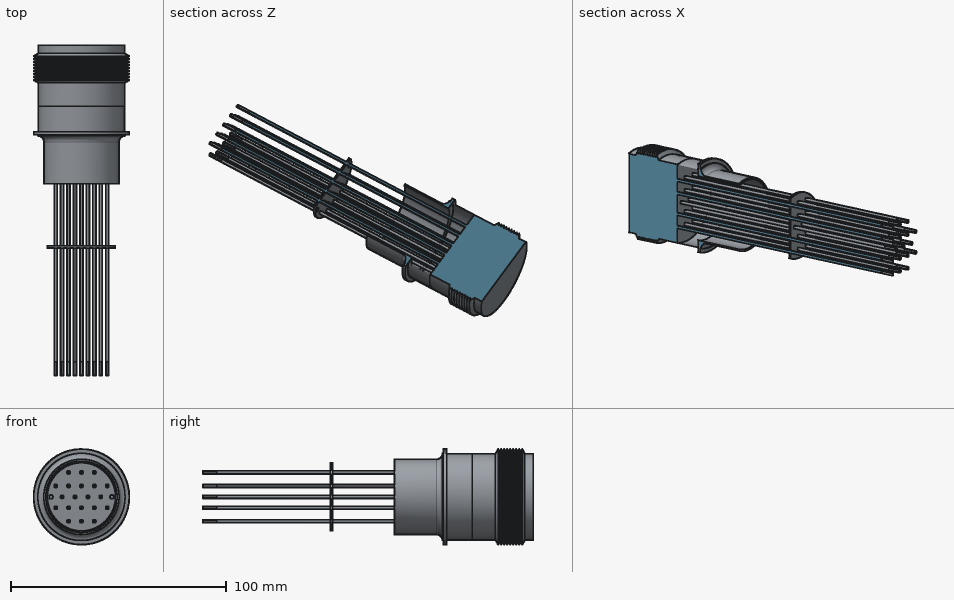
import cadquery as cq
import math

total_length = 153.3

body_radius = 20.1
neck_radius = 17.5
neck_wall = 0.9
body_wall = 0.3
neck_end_y = 88.9
cavity_floor_y = 125.0

flange_radius = 22.2
flange_top_y = 113.1
flange_thickness = 1.5
shoulder_height = 0.5
blend_radius = 2.8

thread_crest_radius = 22.2
thread_center_y = 142.5
thread_pitch = 1.4
thread_ridge_count = 9
thread_flank_angle = 30.0

pin_radius = 0.8
pin_tip_chamfer = 0.23
cup_radius = 0.5
cup_depth = 6.5
pin_embed = 1.5
pin_spacing = 6.0
row_offset_inner = 5.0
row_offset_outer = 11.3

disc_radius = 15.8
disc_thickness = 1.0
disc_y = 59.2
disc_hole_radius = 0.9
disc_hole_offset = 14.1


def cylinder(radius, start_y, length, x=0.0, z=0.0):
    """Cylinder along +Y that starts at start_y."""
    start = cq.Vector(x, start_y, z)
    return cq.Workplane(cq.Solid.makeCylinder(radius, length, start, cq.Vector(0, 1, 0)))


def thread_profile():
    """Zigzag outline from the body, over every ridge, and back to the body."""
    flank_run = math.tan(math.radians(thread_flank_angle))
    root_radius = thread_crest_radius - thread_pitch / 2 / flank_run
    end_flank_length = (thread_crest_radius - body_radius) * flank_run
    first_crest_y = thread_center_y - (thread_ridge_count - 1) / 2 * thread_pitch
    last_crest_y = thread_center_y + (thread_ridge_count - 1) / 2 * thread_pitch
    points = [(body_radius, first_crest_y - end_flank_length)]
    for ridge in range(thread_ridge_count):
        crest_y = first_crest_y + ridge * thread_pitch
        if ridge > 0:
            points.append((root_radius, crest_y - thread_pitch / 2))
        points.append((thread_crest_radius, crest_y))
    points.append((body_radius, last_crest_y + end_flank_length))
    return points


def make_housing():
    """Revolved shell, closed at the mating end and open at the neck."""
    flange_bottom_y = flange_top_y - flange_thickness
    blend_top_y = flange_bottom_y - shoulder_height
    blend_outer_radius = neck_radius + blend_radius
    neck_bore = neck_radius - neck_wall
    body_bore = body_radius - body_wall
    profile = (
        cq.Workplane("XY")
        .moveTo(neck_bore, neck_end_y)
        .lineTo(neck_radius, neck_end_y)
        .lineTo(neck_radius, blend_top_y - blend_radius)
        .radiusArc((blend_outer_radius, blend_top_y), blend_radius)
        .lineTo(blend_outer_radius, flange_bottom_y)
        .lineTo(flange_radius, flange_bottom_y)
        .lineTo(flange_radius, flange_top_y)
        .lineTo(body_radius, flange_top_y)
        .polyline(thread_profile(), includeCurrent=True)
        .lineTo(body_radius, total_length)
        .lineTo(0, total_length)
        .lineTo(0, cavity_floor_y)
        .lineTo(body_bore, cavity_floor_y)
        .lineTo(body_bore, flange_top_y)
        .lineTo(neck_bore, flange_top_y)
        .close()
    )
    return profile.revolve(360, (0, 0, 0), (0, 1, 0))


def pin_positions():
    """Five rows of pins, evenly spaced in X and symmetric about the axis."""
    pins_per_row = {
        -row_offset_outer: 3,
        -row_offset_inner: 5,
        0.0: 4,
        row_offset_inner: 5,
        row_offset_outer: 3,
    }
    return [
        ((index - (count - 1) / 2) * pin_spacing, z)
        for z, count in pins_per_row.items()
        for index in range(count)
    ]


def make_pin(x, z):
    pin = cylinder(pin_radius, 0, cavity_floor_y + pin_embed, x, z)
    pin = pin.faces("<Y").chamfer(pin_tip_chamfer)
    return pin.cut(cylinder(cup_radius, 0, cup_depth, x, z))


def make_spacer_disc():
    disc = cylinder(disc_radius, disc_y, disc_thickness)
    for x in (-disc_hole_offset, disc_hole_offset):
        disc = disc.cut(cylinder(disc_hole_radius, disc_y, disc_thickness, x))
    return disc


result = make_housing().union(make_spacer_disc())
for pin_x, pin_z in pin_positions():
    result = result.union(make_pin(pin_x, pin_z))